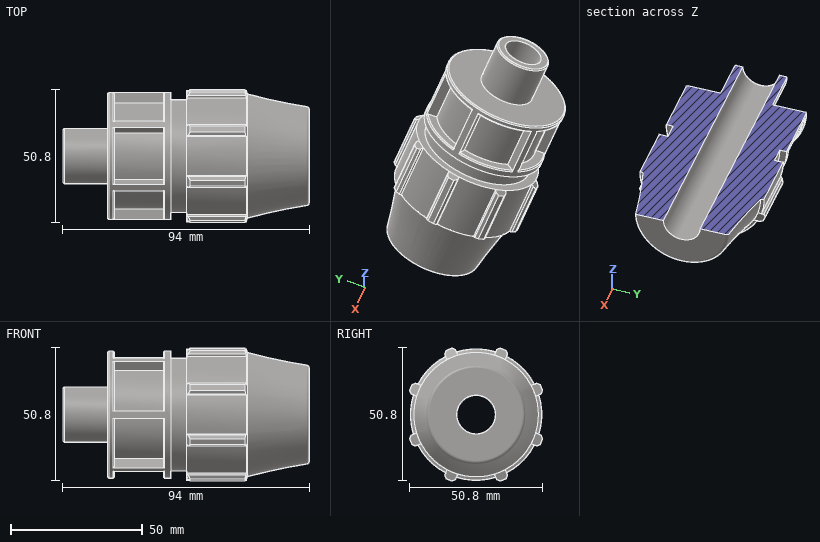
import cadquery as cq


flange_start = 17.0
groove_start = 19.6
groove_end = 38.3
flange_end = 41.2
nut_start = 47.15
nut_end = 70.0
total_length = 94.0

bore_radius = 14.67 / 2
spigot_radius = 10.6

edge_chamfer = 0.5

body_radius = 48.6 / 2
collar_radius = 43.2 / 2
groove_floor_radius = 20.3
body_rib_count = 6
body_rib_width = 2.8

nut_radius = 25.1
grip_count = 8
grip_radius = 27.0
grip_width = 4.5
grip_chamfer = 1.05
grip_lead_in = 1.4
nut_shoulder_length = 0.4

nose_start = nut_end + nut_shoulder_length
nose_start_radius = 23.75
nose_middle_radius = 20.9
nose_end_radius = 18.75
nose_fillet = 1.1


def cylinder(radius, start, end):
    """Solid cylinder about the X axis between two stations."""
    return cq.Workplane("YZ", origin=(start, 0, 0)).circle(radius).extrude(end - start)


def revolve_about_x(profile):
    """Turn a closed (x, radius) profile around the X axis."""
    return profile.revolve(360, (0, 0, 0), (1, 0, 0))


def chamfered_cylinder(radius, start, end):
    """Cylinder whose edge at the start station is chamfered."""
    profile = (
        cq.Workplane("XY")
        .moveTo(start, 0)
        .lineTo(start, radius - edge_chamfer)
        .lineTo(start + edge_chamfer, radius)
        .lineTo(end, radius)
        .lineTo(end, 0)
        .close()
    )
    return revolve_about_x(profile)


def make_groove():
    """Ring between the flanges, with its rims chamfered."""
    profile = (
        cq.Workplane("XY")
        .moveTo(groove_start, groove_floor_radius)
        .lineTo(groove_start, body_radius - edge_chamfer)
        .lineTo(groove_start - edge_chamfer, body_radius)
        .lineTo(groove_end + edge_chamfer, body_radius)
        .lineTo(groove_end, body_radius - edge_chamfer)
        .lineTo(groove_end, groove_floor_radius)
        .close()
    )
    return revolve_about_x(profile)


def make_body_pockets():
    """The groove, interrupted by the radial ribs that stay on the body."""
    pockets = make_groove()
    rib = cq.Workplane("XY").box(
        flange_end, 2 * body_radius, body_rib_width, centered=(False, False, True)
    )
    for index in range(body_rib_count):
        pockets = pockets.cut(rib.rotate((0, 0, 0), (1, 0, 0), index * 360 / body_rib_count))
    return pockets


def make_body():
    """Two flanges with a ribbed groove between them, and the collar behind."""
    body = chamfered_cylinder(body_radius, flange_start, flange_end)
    body = body.cut(make_body_pockets())
    return body.union(cylinder(collar_radius, flange_end, nut_start))


def make_grip():
    """One grip bar on the +Z side, with sloping ends and chamfered top edges."""
    shoulder_slope = nut_shoulder_length / (nut_radius - nose_start_radius)
    top_end = nut_end - (grip_radius - nut_radius) * shoulder_slope
    bar = (
        cq.Workplane("XZ")
        .moveTo(nut_start, collar_radius)
        .lineTo(nut_start, nut_radius)
        .lineTo(nut_start + grip_lead_in, grip_radius)
        .lineTo(top_end, grip_radius)
        .lineTo(nose_start, nose_start_radius)
        .lineTo(nose_start, collar_radius)
        .close()
        .extrude(grip_width / 2, both=True)
    )
    return bar.faces(">Z").edges("|X").chamfer(grip_chamfer)


def make_nut():
    """Nut barrel with evenly spaced grips and a sloping shoulder before the nose."""
    barrel = (
        cq.Workplane("XY")
        .moveTo(nut_start, 0)
        .lineTo(nut_start, nut_radius)
        .lineTo(nut_end, nut_radius)
        .lineTo(nose_start, nose_start_radius)
        .lineTo(nose_start, 0)
        .close()
    )
    nut = revolve_about_x(barrel)
    grip = make_grip()
    for index in range(grip_count):
        nut = nut.union(grip.rotate((0, 0, 0), (1, 0, 0), (index + 0.5) * 360 / grip_count))
    return nut


def make_nose():
    """Nose that narrows along a shallow concave arc to a rounded end."""
    profile = (
        cq.Workplane("XY")
        .moveTo(nose_start, 0)
        .lineTo(nose_start, nose_start_radius)
        .threePointArc(
            ((nose_start + total_length) / 2, nose_middle_radius),
            (total_length, nose_end_radius),
        )
        .lineTo(total_length, 0)
        .close()
    )
    return revolve_about_x(profile).faces(">X").edges().fillet(nose_fillet)


spigot = chamfered_cylinder(spigot_radius, 0, flange_start)
coupling = spigot.union(make_body()).union(make_nut()).union(make_nose())
result = coupling.cut(cylinder(bore_radius, 0, total_length))